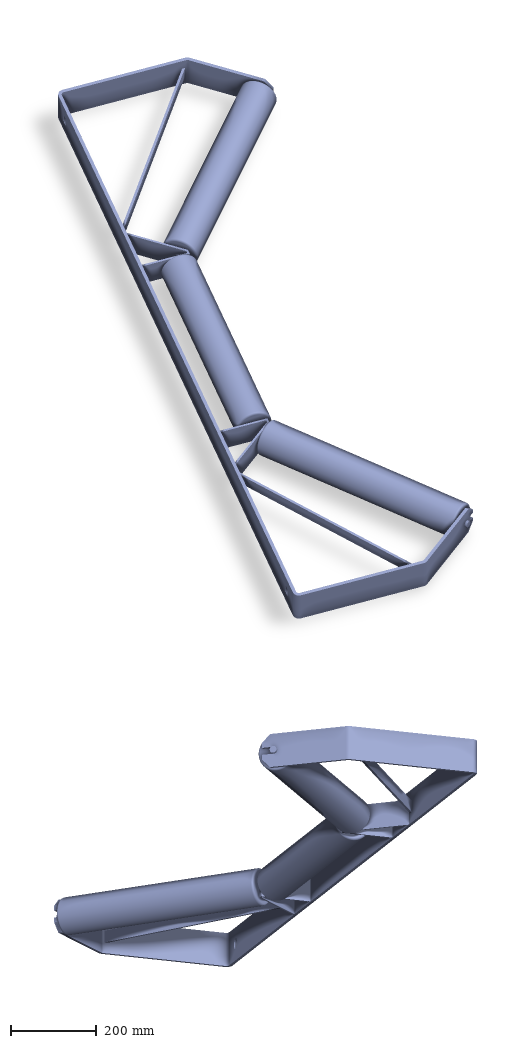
import cadquery as cq
import math

frame_length = 1680.0
bar_height = 80.0
bar_thickness = 8.0
bend_radius = 15.0
elbow_y = 325.0
arm_tip_y = 489.0
arm_tip_chamfer = 20.0
mount_slot_width = 18.0
mount_slot_height = 25.0
mount_slot_inset = 59.0

trough_angle = 40.0
roller_diameter = 89.0
roller_length = 530.0
roller_end_fillet = 5.0
shaft_diameter = 17.0
outer_overhang = 20.0
inner_overhang = 12.0
inner_drop = 7.0
centre_roller_y = 100.0
side_roller_x = 710.0
side_roller_y = 457.0

bracket_thickness = 5.0
bracket_height = 60.0
bracket_gap = 8.0
bracket_top_y = 131.0
bracket_top_width = 13.0

brace_thickness = 6.0
brace_height = 29.0
brace_leg_y = 315.0
brace_base_x = 396.0

half_length = frame_length / 2
leg_inner_x = half_length - bar_thickness
bar_bottom_z = -bar_height / 2
trough = math.radians(trough_angle)
roller_dir = cq.Vector(math.cos(trough), -math.sin(trough))
arm_dir = cq.Vector(math.sin(trough), math.cos(trough))
side_start = cq.Vector(-side_roller_x, side_roller_y)
side_end = side_start + roller_dir * roller_length - cq.Vector(0, 0, inner_drop)


def strip(outline, bottom_z, height):
    """Extrude a closed XY outline upwards from bottom_z."""
    return cq.Workplane("XY", origin=(0, 0, bottom_z)).polyline(outline).close().extrude(height)


def both_sides(left_body):
    """A left-hand body and its mirror image on the right."""
    return [left_body, left_body.mirror("YZ")]


def nearest_edge(x, y, z=0):
    return cq.selectors.NearestToPointSelector((x, y, z))


def make_roller(start, end, start_overhang, end_overhang):
    """Roller body from start to end, with its shaft through it."""
    axis = (end - start).normalized()
    length = (end - start).Length
    body = (
        cq.Workplane(cq.Plane(origin=start, normal=axis))
        .circle(roller_diameter / 2)
        .extrude(length)
        .edges()
        .fillet(roller_end_fillet)
    )
    shaft = (
        cq.Workplane(cq.Plane(origin=start - axis * start_overhang, normal=axis))
        .circle(shaft_diameter / 2)
        .extrude(length + start_overhang + end_overhang)
    )
    return body.union(shaft)


def make_frame():
    elbow = cq.Vector(-half_length, elbow_y)
    tip = elbow + arm_dir * ((arm_tip_y - elbow_y) / arm_dir.y)
    inner_tip = tip + roller_dir * bar_thickness
    inner_elbow_y = elbow_y - bar_thickness * math.tan(trough / 2)
    outer = [(tip.x, tip.y), (elbow.x, elbow.y), (-half_length, 0)]
    inner = [(inner_tip.x, inner_tip.y), (-leg_inner_x, inner_elbow_y), (-leg_inner_x, bar_thickness)]
    outer += [(-x, y) for x, y in reversed(outer)]
    inner += [(-x, y) for x, y in reversed(inner)]
    frame = strip(outer + inner[::-1], bar_bottom_z, bar_height)

    for side in (-1, 1):
        for y in (0, elbow_y):
            frame = frame.edges(nearest_edge(side * half_length, y)).fillet(bend_radius)
        for y in (bar_thickness, inner_elbow_y):
            frame = frame.edges(nearest_edge(side * leg_inner_x, y)).fillet(bend_radius - bar_thickness)

    tip_middle = (tip + inner_tip) * 0.5
    for side in (-1, 1):
        for z in (bar_bottom_z, -bar_bottom_z):
            corner = nearest_edge(side * tip_middle.x, tip_middle.y, z)
            frame = frame.edges(corner).chamfer(arm_tip_chamfer)

    mount_slots = (
        cq.Workplane("XZ")
        .pushPoints([(side * (half_length - mount_slot_inset), 0) for side in (-1, 1)])
        .slot2D(mount_slot_height, mount_slot_width, 90)
        .extrude(-bar_thickness)
    )
    return frame.cut(mount_slots)


def make_arm_slot():
    """Slot from the left arm's free end down to the outer shaft of the side roller."""
    slot_length = roller_diameter / 2
    slot_start = side_start - roller_dir * outer_overhang
    plane = cq.Plane(origin=slot_start, xDir=arm_dir, normal=roller_dir)
    return (
        cq.Workplane(plane)
        .center(slot_length / 2, 0)
        .rect(slot_length, shaft_diameter)
        .extrude(outer_overhang)
    )


def make_bracket():
    t = bracket_thickness
    upright_x = -(roller_length / 2 + bracket_gap)
    bend_x = upright_x - bracket_top_width
    lean = math.tan(trough)
    foot_x = bend_x - (bracket_top_y - bar_thickness) * lean
    slanted_width = t / math.cos(trough)
    outline = [
        (upright_x, bar_thickness),
        (upright_x, bracket_top_y),
        (bend_x, bracket_top_y),
        (foot_x, bar_thickness),
        (foot_x + slanted_width, bar_thickness),
        (bend_x + slanted_width - t * lean, bracket_top_y - t),
        (upright_x - t, bracket_top_y - t),
        (upright_x - t, bar_thickness),
    ]
    return strip(outline, bar_bottom_z, bracket_height)


def make_brace():
    slope = math.atan2(brace_leg_y - bar_thickness, leg_inner_x - brace_base_x)
    outline = [
        (-leg_inner_x, brace_leg_y),
        (-brace_base_x, bar_thickness),
        (-brace_base_x - brace_thickness / math.sin(slope), bar_thickness),
        (-leg_inner_x, brace_leg_y - brace_thickness / math.cos(slope)),
    ]
    return strip(outline, -brace_height / 2, brace_height)


centre_end = cq.Vector(roller_length / 2, centre_roller_y, -inner_drop)
centre_start = cq.Vector(-centre_end.x, centre_roller_y, -inner_drop)
centre_roller = make_roller(centre_start, centre_end, inner_overhang, inner_overhang)
left_roller = make_roller(side_start, side_end, outer_overhang, inner_overhang)
side_rollers = both_sides(left_roller)

frame = make_frame()
for cutter in both_sides(make_arm_slot()) + side_rollers:
    frame = frame.cut(cutter)

brackets = both_sides(make_bracket().cut(left_roller).cut(centre_roller))
braces = both_sides(make_brace())

bodies = [frame, centre_roller, *side_rollers, *brackets, *braces]
result = cq.Compound.makeCompound([body.val() for body in bodies])